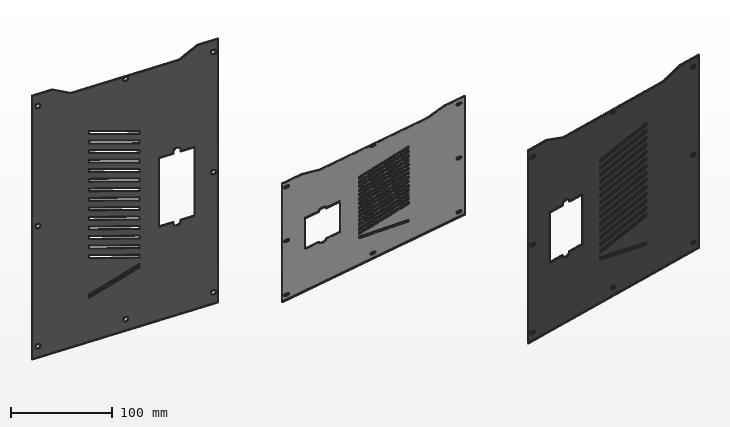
import cadquery as cq
import math

thickness = 1.0
width = 202.0
height = 346.0
left_edge = width / 2

notch_depth = 12.0
shoulder_width = 22.0
slope_width = 20.0

hole_diameter = 5.5
hole_pitch_y = 95.0
hole_pitch_z = 157.8
hole_grid_offset = 5.2
hole_grid_bottom = 15.0

window_width = 38.5
window_height = 90.0
window_offset = 25.5
window_bottom = 123.2
relief_width = 7.5
relief_length = 102.0
relief_center_z = 168.5

slot_count = 14
slot_width = 55.0
slot_opening = 3.8
slot_angle = 20.0
slot_offset = 85.0
slot_column_height = 162.5
lowest_slot_z = 92.0
falling_slot_z = 80.0


def extrude_outline(points):
    """Plate-thick prism with a closed polygon outline of (y, z) points."""
    return cq.Workplane("YZ").polyline(points).close().extrude(thickness)


def make_panel():
    """Panel with the notched top edge."""
    half_width = width / 2
    notch_top = half_width - shoulder_width
    notch_floor = notch_top - slope_width
    floor_z = height - notch_depth
    return extrude_outline([
        (-half_width, 0),
        (half_width, 0),
        (half_width, height),
        (notch_top, height),
        (notch_floor, floor_z),
        (-notch_floor, floor_z),
        (-notch_top, height),
        (-half_width, height),
    ])


def make_screw_holes():
    """Three by three grid of holes without the middle one."""
    positions = []
    for column in range(3):
        for row in range(3):
            if (column, row) != (1, 1):
                y = left_edge - hole_grid_offset - column * hole_pitch_y
                z = hole_grid_bottom + row * hole_pitch_z
                positions.append((y, z))
    return cq.Workplane("YZ").pushPoints(positions).circle(hole_diameter / 2).extrude(thickness)


def make_window():
    """Rectangle crossed by a taller, vertical, round-ended slot."""
    center_y = left_edge - window_offset - window_width / 2
    opening = (
        cq.Workplane("YZ")
        .center(center_y, window_bottom + window_height / 2)
        .rect(window_width, window_height)
        .extrude(thickness)
    )
    relief = (
        cq.Workplane("YZ")
        .center(center_y, relief_center_z)
        .slot2D(relief_length, relief_width, 90)
        .extrude(thickness)
    )
    return opening.union(relief)


def make_slot(left_z, angle):
    """Slanted slot starting at left_z and rising towards -Y by the given angle."""
    left_y = left_edge - slot_offset
    right_y = left_y - slot_width
    right_z = left_z + slot_width * math.tan(math.radians(angle))
    half_opening = slot_opening / 2
    return extrude_outline([
        (left_y, left_z - half_opening),
        (right_y, right_z - half_opening),
        (right_y, right_z + half_opening),
        (left_y, left_z + half_opening),
    ])


result = make_panel().cut(make_screw_holes()).cut(make_window())

slot_pitch = slot_column_height / (slot_count - 1)
for index in range(slot_count):
    result = result.cut(make_slot(lowest_slot_z + index * slot_pitch, slot_angle))
result = result.cut(make_slot(falling_slot_z, -slot_angle))